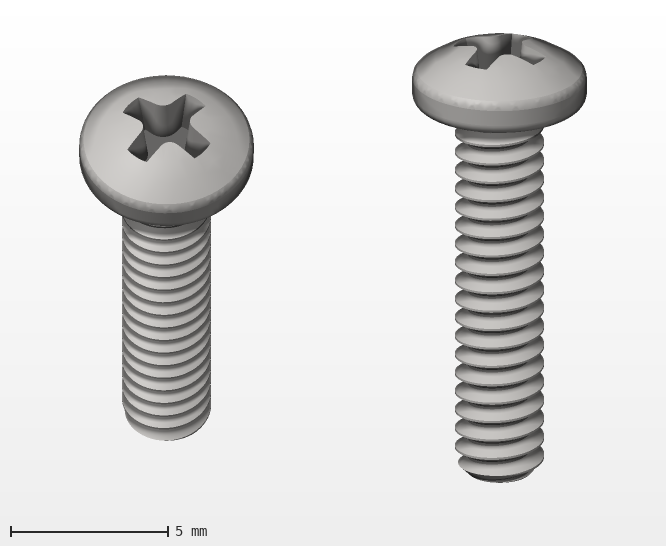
import cadquery as cq
import math

overall_length = 14.66

shank_length = 12.7
thread_turns = 20
pitch = shank_length / thread_turns
major_radius = 2.85 / 2
crest_flat = 0.07
thread_depth = 0.41
flank_angle = 30.0
thread_overlap = 0.05
root_radius = major_radius - thread_depth
tip_chamfer = thread_depth

head_radius = 5.55 / 2
crown_radius = 4.4
head_fillet = 0.35

wing_half_width = 0.43
wing_corner_radius = 0.37
wing_draft = 6.5
wing_end_angle = 19.5
recess_floor_radius = 1.11
recess_depth = 1.4

corner_reach = math.sqrt(2) * (wing_half_width + wing_corner_radius) - wing_corner_radius
crown_center_z = overall_length - math.sqrt(crown_radius**2 - corner_reach**2)
apex_z = crown_center_z + crown_radius


def make_shank_blank():
    """Full-diameter shank with a chamfered tip."""
    return cq.Workplane("XY").circle(major_radius).extrude(shank_length).faces("<Z").chamfer(tip_chamfer)


def make_thread():
    """Helical ridge, one pitch longer than the shank at each end, built turn by turn from ruled faces."""
    half_crest = crest_flat / 2
    half_root = half_crest + thread_depth * math.tan(math.radians(flank_angle))
    base_radius = root_radius - thread_overlap
    section = [
        (base_radius, -half_root),
        (root_radius, -half_root),
        (major_radius, -half_crest),
        (major_radius, half_crest),
        (root_radius, half_root),
        (base_radius, half_root),
    ]
    faces = []
    for turn in range(-1, thread_turns + 1):
        helices = [
            cq.Wire.makeHelix(pitch, pitch, radius, cq.Vector(0, 0, height + turn * pitch))
            for radius, height in section
        ]
        for helix, next_helix in zip(helices, helices[1:] + helices[:1]):
            faces += cq.Face.makeRuledSurface(helix, next_helix).Faces()
    for end_z in (-pitch, shank_length + pitch):
        corners = [cq.Vector(radius, 0, height + end_z) for radius, height in section]
        faces.append(cq.Face.makeFromWires(cq.Wire.makePolygon(corners, close=True)))
    ridge = cq.Solid.makeSolid(cq.Shell.makeShell(faces)).fix()
    return cq.Workplane(ridge).rotate((0, 0, 0), (0, 0, 1), 90)


def make_threaded_shank():
    """Core at the root radius, joined to the thread trimmed to the blank."""
    core = cq.Workplane("XY").circle(root_radius).extrude(shank_length)
    return core.union(make_thread().intersect(make_shank_blank()))


def make_head():
    """Disc under a spherical crown, rounded at both rims."""
    disc = cq.Workplane("XY", origin=(0, 0, shank_length)).circle(head_radius).extrude(apex_z - shank_length)
    crown = cq.Workplane("XY").sphere(crown_radius).translate((0, 0, crown_center_z))
    return disc.intersect(crown).edges("%CIRCLE").fillet(head_fillet)


def make_recess():
    """Cross with drafted sides, cut to length by a cone that narrows to the floor."""
    wing_length = 2 * head_radius
    wing_width = 2 * wing_half_width
    box_corner = cq.Vector(wing_width, wing_width, wing_width)
    inner_corners = cq.selectors.BoxSelector((-box_corner).toTuple(), box_corner.toTuple())
    top = cq.Workplane("XY", origin=(0, 0, overall_length))
    cross = (
        cq.Sketch()
        .rect(wing_length, wing_width)
        .rect(wing_width, wing_length)
        .clean()
        .reset()
        .vertices(inner_corners)
        .fillet(wing_corner_radius)
    )
    below = top.placeSketch(cross).extrude(-recess_depth, taper=wing_draft)
    above = top.placeSketch(cross).extrude(apex_z - overall_length)

    floor_z = overall_length - recess_depth
    cone_height = apex_z - floor_z
    cone_top_radius = recess_floor_radius + cone_height * math.tan(math.radians(wing_end_angle))
    cone = cq.Workplane(
        cq.Solid.makeCone(recess_floor_radius, cone_top_radius, cone_height, pnt=cq.Vector(0, 0, floor_z))
    )
    return below.union(above).intersect(cone)


screw = make_head().cut(make_recess()).union(make_threaded_shank())
result = cq.Workplane(screw.solids().val())